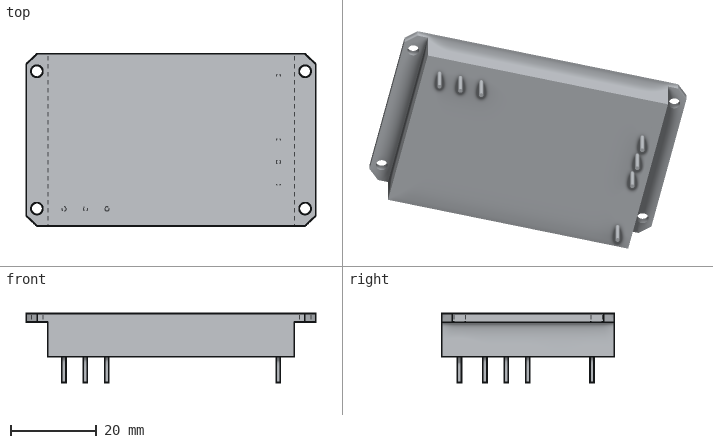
import cadquery as cq

length = 67.5
width = 40.2
overall_height = 16.1
flange_thickness = 2.0
corner_cut_x = 2.55
corner_cut_y = 2.4

hole_diameter = 2.7
hole_offset_x = 31.25
hole_offset_y = 16.0

body_length = 57.5

pin_diameter = 1.0
pin_length = 6.0
pin_pitch = 5.0
pin_column_offset = 25.0
column_shift_y = -0.1

body_bottom = pin_length
flange_bottom = overall_height - flange_thickness

row_pin_count = 3
row_pins = [(-pin_column_offset + i * pin_pitch, -hole_offset_y) for i in range(row_pin_count)]

column_steps = (-2, -1, 0, 3)
column_pins = [(pin_column_offset, step * pin_pitch + column_shift_y) for step in column_steps]


def make_flange():
    """Plate with four cut corners and four through holes."""
    half_x = length / 2
    half_y = width / 2
    straight_x = half_x - corner_cut_x
    straight_y = half_y - corner_cut_y
    outline = [
        (-straight_x, -half_y),
        (straight_x, -half_y),
        (half_x, -straight_y),
        (half_x, straight_y),
        (straight_x, half_y),
        (-straight_x, half_y),
        (-half_x, straight_y),
        (-half_x, -straight_y),
    ]
    plate = (
        cq.Workplane("XY")
        .workplane(offset=flange_bottom)
        .polyline(outline)
        .close()
        .extrude(flange_thickness)
    )
    return (
        plate.faces(">Z")
        .workplane(origin=(0, 0, overall_height))
        .rect(2 * hole_offset_x, 2 * hole_offset_y, forConstruction=True)
        .vertices()
        .hole(hole_diameter)
    )


def make_body():
    """Rectangular block between the pins and the flange."""
    body_height = flange_bottom - body_bottom
    return (
        cq.Workplane("XY")
        .workplane(offset=body_bottom)
        .rect(body_length, width)
        .extrude(body_height)
    )


def make_pins():
    """Round pins reaching down from the underside of the body."""
    return (
        cq.Workplane("XY")
        .pushPoints(row_pins + column_pins)
        .circle(pin_diameter / 2)
        .extrude(pin_length)
    )


result = make_flange().union(make_body()).union(make_pins())